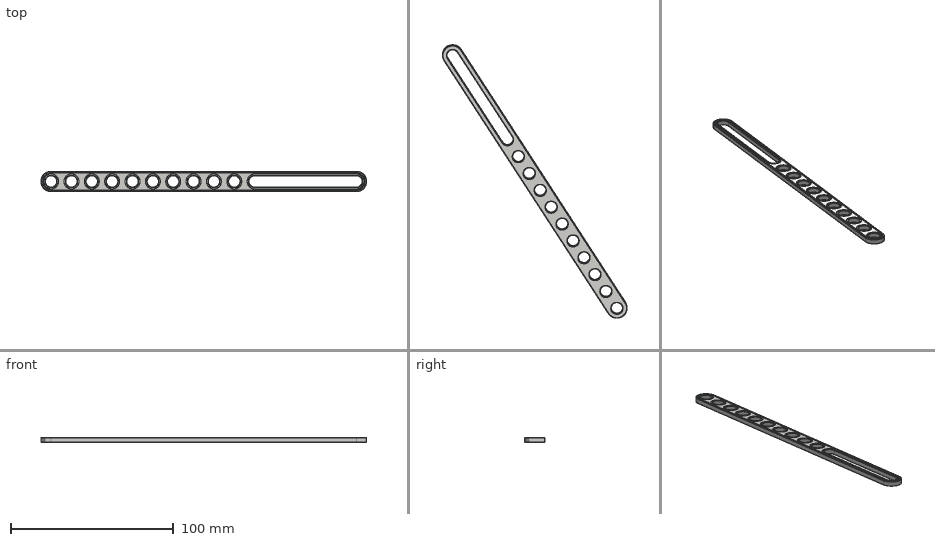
import cadquery as cq

pitch = 12.5
station_count = 16
round_hole_count = 10
thickness = 3.12
hole_diameter = 7.0
rim_diameter = 9.2
recess_depth = 0.2
edge_chamfer = 0.3

width = pitch
length = station_count * pitch
rim_width = (rim_diameter - hole_diameter) / 2
recess_floor_z = thickness - recess_depth

first_station_x = (pitch - length) / 2
hole_centers = [(first_station_x + i * pitch, 0) for i in range(round_hole_count)]
slot_start_x = first_station_x + round_hole_count * pitch
slot_end_x = first_station_x + (station_count - 1) * pitch
slot_span = slot_end_x - slot_start_x
slot_center_x = (slot_start_x + slot_end_x) / 2


def make_strip(inset, bottom_z):
    """Bar with full-round ends, inset from the outline, from bottom_z up to the top face."""
    return (
        cq.Workplane("XY", origin=(0, 0, bottom_z))
        .slot2D(length - 2 * inset, width - 2 * inset)
        .extrude(thickness - bottom_z)
    )


def make_openings(diameter, bottom_z):
    """Row of discs and one long slot of the given diameter, from bottom_z up to the top face."""
    height = thickness - bottom_z
    discs = (
        cq.Workplane("XY", origin=(0, 0, bottom_z))
        .pushPoints(hole_centers)
        .circle(diameter / 2)
        .extrude(height)
    )
    slot = (
        cq.Workplane("XY", origin=(slot_center_x, 0, bottom_z))
        .slot2D(slot_span + diameter, diameter)
        .extrude(height)
    )
    return discs.union(slot)


def make_perforated_strip():
    """Strip with its openings, bevelled around every edge of the top and bottom faces."""
    strip = make_strip(0, 0).cut(make_openings(hole_diameter, 0))
    return strip.faces("|Z").edges().chamfer(edge_chamfer)


def make_recess():
    """Shallow pocket in the top face between the outer rim and the rims around the openings."""
    return make_strip(rim_width, recess_floor_z).cut(make_openings(rim_diameter, recess_floor_z))


result = make_perforated_strip().cut(make_recess())